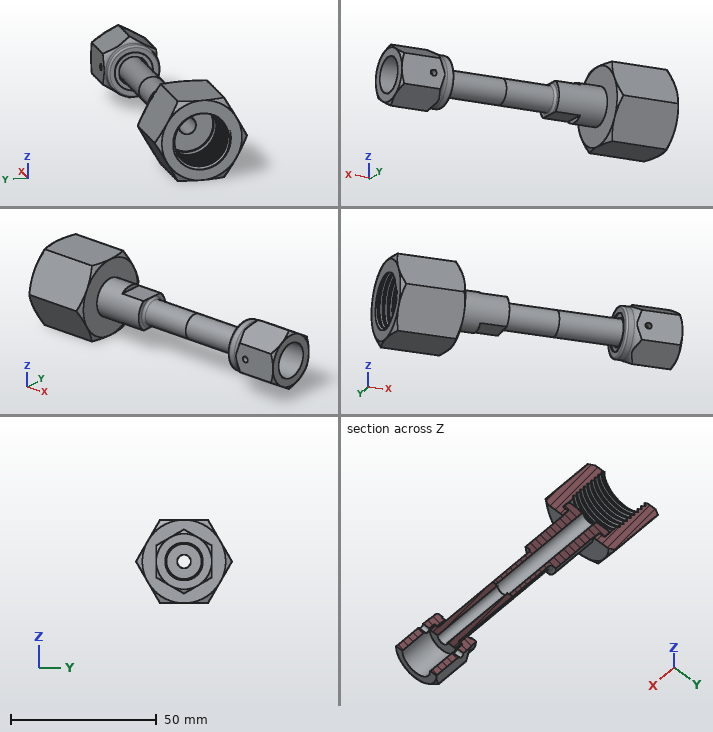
import cadquery as cq
import math


coupling_flats = 28.575
coupling_length = 23.85
coupling_chamfer_angle = 30
thread_major_radius = 21.0 / 2
thread_minor_radius = 19.2 / 2
thread_pitch = 25.4 / 14
thread_turns = 9
thread_start_angle = 150
thread_start_x = -0.35 * thread_pitch
thread_root_flat = 0.25 * thread_pitch
thread_mouth_width = 0.85 * thread_pitch
thread_groove_overlap = 0.1
head_face_x = 18.0
coupling_wall = 3.0
head_back_x = coupling_length - coupling_wall

body_radius = 14.29 / 2
body_end_x = 42.6
head_chamfer = 0.5
wrench_flats = 11.11
wrench_flat_start_x = 33.0
shoulder_fillet = 0.9
nipple_bore_radius = 6.1 / 2
joint_x = 61.8

tube_radius = 9.525 / 2
gland_bore_radius = 4.6 / 2
gland_end_x = 91.9
flange_radius = 12.0 / 2
flange_length = 3.0
flange_back_x = gland_end_x - flange_length

overall_length = 105.1
gland_nut_flats = 19.05
gland_nut_start_x = 84.6
collar_radius = 9.35
end_chamfer_length = 0.9
collar_edge_fillet = 0.7
collar_blend_x = 87.4
hexagon_full_x = 90.15
recess_radius = 6.8
recess_depth = 0.4
clearance_radius = 10.4 / 2
gland_nut_bore_radius = 13.0 / 2
test_hole_diameter = 2.2
test_hole_x = 92.65


def corner_radius(flats):
    """Distance from the centre of a hexagon to its corners."""
    return flats / math.sqrt(3)


def hexagon_bar(flats, start_x, end_x, turn):
    """Hexagonal bar along X; a turn of 0 puts two corners on the Y axis."""
    bar = cq.Workplane("YZ", origin=(start_x, 0, 0)).polygon(6, 2 * corner_radius(flats))
    return bar.extrude(end_x - start_x).rotate((0, 0, 0), (1, 0, 0), turn)


def cylinder(radius, start_x, end_x):
    """Round bar along X."""
    return cq.Workplane("YZ", origin=(start_x, 0, 0)).circle(radius).extrude(end_x - start_x)


def revolve_about_x(outline):
    """Turn a closed XY outline around the X axis."""
    return outline.close().revolve(360, (0, 0, 0), (1, 0, 0))


def make_thread_groove():
    """Left-hand groove that starts just outside the open face and runs into the nut."""
    root_radius = thread_minor_radius - thread_groove_overlap
    path = cq.Wire.makeHelix(
        thread_pitch, thread_pitch * thread_turns, root_radius, lefthand=True
    )
    groove = (
        cq.Workplane("XZ")
        .moveTo(root_radius, -thread_mouth_width / 2)
        .lineTo(thread_major_radius, -thread_root_flat / 2)
        .lineTo(thread_major_radius, thread_root_flat / 2)
        .lineTo(root_radius, thread_mouth_width / 2)
        .close()
        .sweep(cq.Workplane(path), isFrenet=True)
    )
    groove = groove.translate((0, 0, thread_start_x)).rotate((0, 0, 0), (0, 1, 0), 90)
    return groove.rotate((0, 0, 0), (1, 0, 0), thread_start_angle)


def make_coupling_nut():
    corner = corner_radius(coupling_flats)
    face_radius = coupling_flats / 2
    chamfer_length = (corner - face_radius) * math.tan(math.radians(coupling_chamfer_angle))
    envelope = revolve_about_x(
        cq.Workplane("XY")
        .lineTo(0, face_radius)
        .lineTo(chamfer_length, corner)
        .lineTo(coupling_length - chamfer_length, corner)
        .lineTo(coupling_length, face_radius)
        .lineTo(coupling_length, 0)
    )
    nut = hexagon_bar(coupling_flats, 0, coupling_length, 0).intersect(envelope)
    nut = nut.cut(cylinder(thread_minor_radius, 0, head_back_x))
    nut = nut.cut(cylinder(body_radius, head_back_x, coupling_length))
    return nut.cut(make_thread_groove())


def make_nipple():
    fillet_end_x = body_end_x + shoulder_fillet
    fillet_mid_offset = shoulder_fillet * (1 - math.sqrt(0.5))
    nipple = revolve_about_x(
        cq.Workplane("XY")
        .moveTo(head_face_x, nipple_bore_radius)
        .lineTo(head_face_x, thread_minor_radius - head_chamfer)
        .lineTo(head_face_x + head_chamfer, thread_minor_radius)
        .lineTo(head_back_x, thread_minor_radius)
        .lineTo(head_back_x, body_radius)
        .lineTo(body_end_x, body_radius)
        .lineTo(body_end_x, tube_radius + shoulder_fillet)
        .threePointArc(
            (body_end_x + fillet_mid_offset, tube_radius + fillet_mid_offset),
            (fillet_end_x, tube_radius),
        )
        .lineTo(joint_x, tube_radius)
        .lineTo(joint_x, nipple_bore_radius)
    )
    flat_length = fillet_end_x - wrench_flat_start_x
    flat_depth = body_radius - wrench_flats / 2
    for side in (1, -1):
        cutter = cq.Workplane("XY").box(flat_length, 2 * body_radius, flat_depth)
        nipple = nipple.cut(
            cutter.translate(
                (wrench_flat_start_x + flat_length / 2, 0, side * (wrench_flats + flat_depth) / 2)
            )
        )
    return nipple


def make_gland():
    tube = cylinder(tube_radius, joint_x, gland_end_x)
    flange = cylinder(flange_radius, flange_back_x, gland_end_x)
    return tube.union(flange).cut(cylinder(gland_bore_radius, joint_x, gland_end_x))


def make_gland_nut():
    corner = corner_radius(gland_nut_flats)
    end_face_radius = gland_nut_flats / 2
    envelope = revolve_about_x(
        cq.Workplane("XY")
        .moveTo(gland_nut_start_x, 0)
        .lineTo(gland_nut_start_x, collar_radius)
        .lineTo(collar_blend_x, collar_radius)
        .tangentArcPoint((hexagon_full_x, corner), relative=False)
        .lineTo(overall_length - end_chamfer_length, corner)
        .lineTo(overall_length, end_face_radius)
        .lineTo(overall_length, 0)
    )
    nut = hexagon_bar(gland_nut_flats, gland_nut_start_x, overall_length, 30).intersect(envelope)
    nut = nut.faces("<X").edges().fillet(collar_edge_fillet)
    nut = nut.cut(cylinder(recess_radius, gland_nut_start_x, gland_nut_start_x + recess_depth))
    nut = nut.cut(cylinder(clearance_radius, gland_nut_start_x, flange_back_x))
    nut = nut.cut(cylinder(gland_nut_bore_radius, flange_back_x, overall_length))
    test_hole = (
        cq.Workplane("XZ", origin=(test_hole_x, 0, 0))
        .circle(test_hole_diameter / 2)
        .extrude(gland_nut_flats, both=True)
    )
    return nut.cut(test_hole)


coupling_nut = make_coupling_nut()
nipple = make_nipple()
gland = make_gland()
gland_nut = make_gland_nut()

bodies = [coupling_nut, nipple, gland, gland_nut]
result = cq.Compound.makeCompound([body.solids().val() for body in bodies])